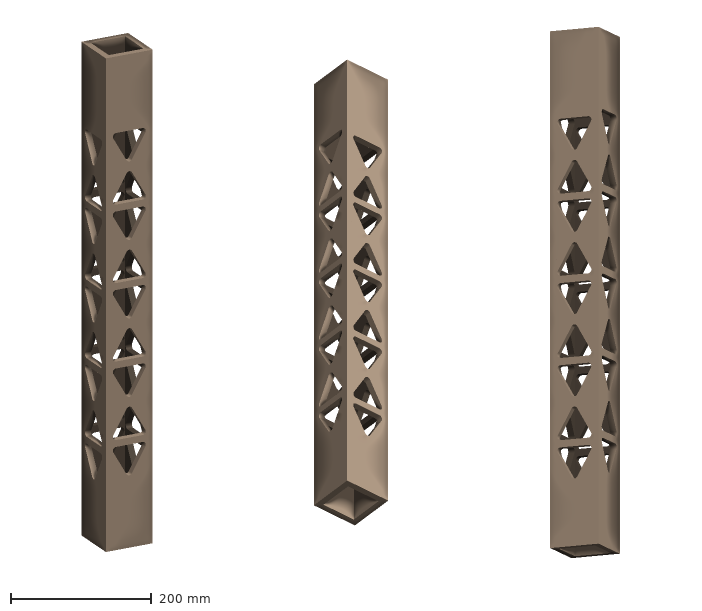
import cadquery as cq
import math

length = 750.0
width = 75.0
wall = 10.0

side = 60.0
corner_radius = 5.0
strut = 10.5
pitch = 119.0
pair_count = 4

front_base_height = 145.0
side_base_height = 157.0

triangle_height = side * math.sqrt(3) / 2


def window(plane_name, base_height, direction):
    """Cutter through both opposite walls; direction +1 points up, -1 points down."""
    corner_edges = "|Y" if plane_name == "XZ" else "|X"
    return (
        cq.Workplane(plane_name)
        .moveTo(-side / 2, base_height)
        .lineTo(side / 2, base_height)
        .lineTo(0, base_height + direction * triangle_height)
        .close()
        .extrude(width, both=True)
        .edges(corner_edges)
        .fillet(corner_radius)
    )


def cut_windows(body, plane_name, lowest_base_height):
    """Cut a downward window at every pitch, each but the topmost paired with an upward one."""
    for index in range(pair_count + 1):
        base_height = lowest_base_height + index * pitch
        body = body.cut(window(plane_name, base_height, -1))
        if index < pair_count:
            body = body.cut(window(plane_name, base_height + strut, 1))
    return body


bore = width - 2 * wall
tube = cq.Workplane("XY").rect(width, width).rect(bore, bore).extrude(length)
tube = cut_windows(tube, "XZ", front_base_height)
result = cut_windows(tube, "YZ", side_base_height)